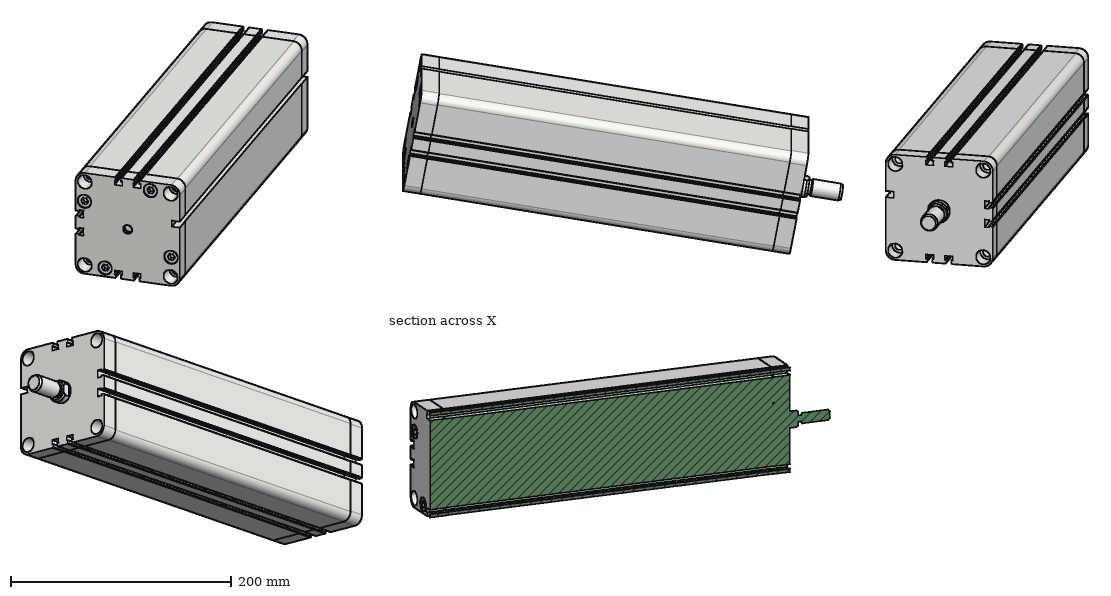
import cadquery as cq

total_length = 396.0
cap_width = 100.0
rod_extension = 39.5
cap_length = 16.0
cap_corner_radius = 8.7
barrel_step = 0.2
barrel_width = cap_width - 2 * barrel_step
barrel_corner_radius = 8.0

front_y = -total_length / 2
rod_end_y = total_length / 2
body_end_y = rod_end_y - rod_extension
body_length = body_end_y - front_y
barrel_length = body_length - 2 * cap_length

slot_spacing = 18.0
slot_neck_width = 4.8
slot_neck_depth = 3.5
slot_lip_chamfer = 0.8
slot_base_width = 7.0
slot_depth = 7.5
plain_slot_width = 6.0
plain_slot_height = 12.0

hole_offset = 41.0
mount_hole_diameter = 8.5
mount_bore_diameter = 13.5
mount_bore_depth = cap_length

screw_inner_offset = 21.8
screw_outer_offset = 41.5
screw_bore_diameter = 13.0
screw_bore_depth = 4.0
screw_head_diameter = 12.5
screw_head_recess = 0.8
socket_across_corners = 6.7
socket_depth = 4.8

center_hole_diameter = 8.0
center_hole_mouth_diameter = 8.7
center_hole_depth = 4.0

collar_diameter = 20.0
collar_length = 8.5
collar_chamfer_length = 2.5
collar_chamfer_depth = 1.0
collar_across_flats = 17.0
flats_start_gap = 1.0
neck_diameter = 13.5
neck_length = 2.5
thread_diameter = 16.0
tip_chamfer_length = 2.5
thread_end_chamfer = 1.0


def section_plane(y):
    """Plane across the axis at y: local x is X, local y is Z, and a negative extrude runs toward +Y."""
    return cq.Workplane(cq.Plane(origin=(0, y, 0), xDir=(1, 0, 0), normal=(0, -1, 0)))


def turn(shape, angle):
    """Rotate a shape about the cylinder axis; positive angles turn the top toward +X."""
    return shape.rotate((0, 0, 0), (0, 1, 0), angle)


def turned_part(profile):
    """Solid of revolution about the Y axis from (radius, y) points."""
    return cq.Workplane("XY").polyline(profile).close().revolve(360, (0, 0, 0), (0, 1, 0))


def t_slot(center_x, half_width, start_y, length):
    """T-slot opening upward through the top side, with chamfered lips."""
    neck = slot_neck_width / 2
    mouth = neck + slot_lip_chamfer
    base = slot_base_width / 2
    floor_z = half_width - slot_depth
    lip_z = half_width - slot_neck_depth
    right_side = [
        (mouth, half_width),
        (neck, half_width - slot_lip_chamfer),
        (neck, lip_z),
        (base, lip_z),
        (base, floor_z),
    ]
    left_side = [(-x, z) for x, z in reversed(right_side)]
    outline = section_plane(start_y).polyline(right_side + left_side).close()
    return outline.extrude(-length).translate((center_x, 0, 0))


def plain_slot(half_width, start_y, length):
    """Rectangular slot in the +X side."""
    center_x = half_width - slot_depth / 2
    outline = section_plane(start_y).center(center_x, plain_slot_height)
    return outline.rect(slot_depth, plain_slot_width).extrude(-length)


def slotted_bar(start_y, length, side_width, corner_radius):
    """Square length of the housing with rounded corners and its sensor slots."""
    half_width = side_width / 2
    bar = section_plane(start_y).rect(side_width, side_width).extrude(-length)
    bar = bar.edges("|Y").fillet(corner_radius)
    for angle in (0, 180, 270):
        for side in (-1, 1):
            slot = t_slot(side * slot_spacing / 2, half_width, start_y, length)
            bar = bar.cut(turn(slot, angle))
    return bar.cut(plain_slot(half_width, start_y, length))


def make_body():
    barrel = slotted_bar(front_y + cap_length, barrel_length, barrel_width, barrel_corner_radius)
    front_cap = slotted_bar(front_y, cap_length, cap_width, cap_corner_radius)
    rear_cap = slotted_bar(body_end_y - cap_length, cap_length, cap_width, cap_corner_radius)
    return barrel.union(front_cap).union(rear_cap)


def cut_mount_holes(body):
    """Four through holes, counterbored from both ends."""
    corners = [(x * hole_offset, z * hole_offset) for x in (-1, 1) for z in (-1, 1)]
    through = section_plane(front_y).pushPoints(corners).circle(mount_hole_diameter / 2)
    body = body.cut(through.extrude(-body_length))
    for bore_start in (front_y, body_end_y - mount_bore_depth):
        bores = section_plane(bore_start).pushPoints(corners).circle(mount_bore_diameter / 2)
        body = body.cut(bores.extrude(-mount_bore_depth))
    return body


def add_cap_screws(body):
    """Socket-head screws sitting in bores with a narrow gap, one every quarter turn."""
    places = [
        (screw_inner_offset, screw_outer_offset),
        (screw_outer_offset, -screw_inner_offset),
        (-screw_inner_offset, -screw_outer_offset),
        (-screw_outer_offset, screw_inner_offset),
    ]
    head_y = front_y + screw_head_recess
    head_height = screw_bore_depth - screw_head_recess
    bores = section_plane(front_y).pushPoints(places).circle(screw_bore_diameter / 2)
    heads = section_plane(head_y).pushPoints(places).circle(screw_head_diameter / 2)
    sockets = section_plane(head_y).pushPoints(places).polygon(6, socket_across_corners)
    body = body.cut(bores.extrude(-screw_bore_depth))
    body = body.union(heads.extrude(-head_height))
    return body.cut(sockets.extrude(-socket_depth))


def cut_center_hole(body):
    """Blind hole with a chamfered mouth."""
    radius = center_hole_diameter / 2
    mouth_radius = center_hole_mouth_diameter / 2
    chamfer_end_y = front_y + mouth_radius - radius
    bottom_y = front_y + center_hole_depth
    profile = [
        (0, front_y),
        (mouth_radius, front_y),
        (radius, chamfer_end_y),
        (radius, bottom_y),
        (0, bottom_y),
    ]
    return body.cut(turned_part(profile))


def make_rod():
    collar_radius = collar_diameter / 2
    neck_radius = neck_diameter / 2
    thread_radius = thread_diameter / 2
    collar_end_y = body_end_y + collar_length
    thread_start_y = collar_end_y + neck_length
    rod = turned_part([
        (0, body_end_y),
        (collar_radius, body_end_y),
        (collar_radius, collar_end_y - collar_chamfer_length),
        (collar_radius - collar_chamfer_depth, collar_end_y),
        (neck_radius, collar_end_y),
        (neck_radius, thread_start_y),
        (thread_radius, thread_start_y + thread_end_chamfer),
        (thread_radius, rod_end_y - tip_chamfer_length),
        (neck_radius, rod_end_y),
        (0, rod_end_y),
    ])
    flat_center = (collar_across_flats + collar_diameter) / 2
    flats_length = collar_length - flats_start_gap
    flats = section_plane(body_end_y + flats_start_gap)
    flats = flats.pushPoints([(-flat_center, 0), (flat_center, 0)]).rect(collar_diameter, collar_diameter)
    return rod.cut(flats.extrude(-flats_length))


body = make_body()
body = cut_mount_holes(body)
body = add_cap_screws(body)
body = cut_center_hole(body)
result = body.union(make_rod())